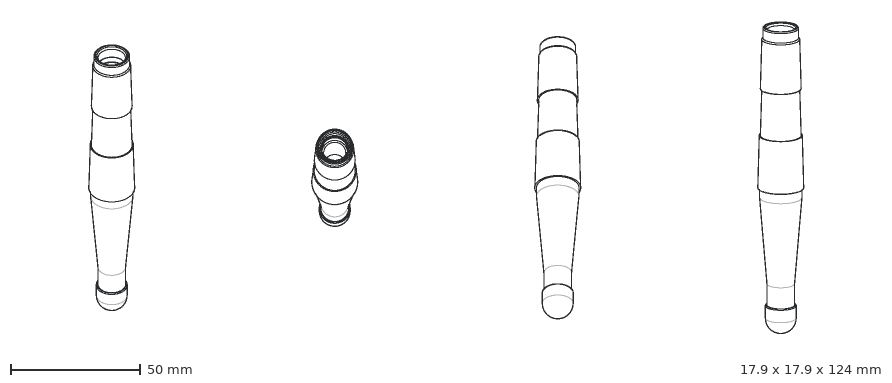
import cadquery as cq
import math

total_length = 124.0
joint_height = 58.9

knob_diameter = 12.0
knob_height = 11.4
knob_chamfer = 0.4
neck_diameter = 10.8
neck_top = 20.0
collar_diameter = 16.5
collar_bottom = 54.9

barrel_bottom_diameter = 17.9
barrel_top_diameter = 16.7
barrel_top = 80.1
section_bottom_diameter = 15.9
section_top_diameter = 14.8
middle_section_top = 99.1
upper_section_top = 119.0
top_collar_diameter = 13.9
top_collar_bottom = 119.7

rim_outer_diameter = 13.1
rim_inner_diameter = 12.4
outer_bevel_depth = 0.5
lip_diameter = 11.4
lip_depth = 0.2
countersink_depth = 1.1

mouth_bore_diameter = 10.5
groove_diameter = 10.8
groove_top = 118.9
groove_bottom = 116.5
main_bore_diameter = 10.0
main_bore_bottom = 111.6
deep_hole_diameter = 8.5
deep_hole_bottom = 89.3
drill_point_angle = 120.0


def outline_points(diameters_and_heights):
    """Turn (diameter, height) pairs into (radius, height) points of a half section."""
    return [(diameter / 2, height) for diameter, height in diameters_and_heights]


def revolve_about_z(half_section):
    return half_section.close().revolve(360, (0, 0, 0), (0, 1, 0))


def make_tail():
    knob_radius = knob_diameter / 2
    arc_middle = knob_radius * math.sqrt(0.5)
    flank = outline_points([
        (0, joint_height),
        (collar_diameter, joint_height),
        (collar_diameter, collar_bottom),
        (neck_diameter, neck_top),
        (neck_diameter, knob_height),
        (knob_diameter - 2 * knob_chamfer, knob_height),
        (knob_diameter, knob_height - knob_chamfer),
        (knob_diameter, knob_radius),
    ])
    half_section = (
        cq.Workplane("XZ")
        .polyline(flank)
        .threePointArc((arc_middle, knob_radius - arc_middle), (0, 0))
    )
    return revolve_about_z(half_section)


def make_grip():
    drill_point_depth = deep_hole_diameter / 2 / math.tan(math.radians(drill_point_angle / 2))
    outside = outline_points([
        (0, joint_height),
        (barrel_bottom_diameter, joint_height),
        (barrel_top_diameter, barrel_top),
        (section_bottom_diameter, barrel_top),
        (section_top_diameter, middle_section_top),
        (section_bottom_diameter, middle_section_top),
        (section_top_diameter, upper_section_top),
        (top_collar_diameter, top_collar_bottom),
    ])
    mouth = outline_points([
        (top_collar_diameter, total_length - outer_bevel_depth),
        (rim_outer_diameter, total_length),
        (rim_inner_diameter, total_length),
        (lip_diameter, total_length - lip_depth),
        (mouth_bore_diameter, total_length - countersink_depth),
    ])
    bore = outline_points([
        (mouth_bore_diameter, groove_top),
        (groove_diameter, groove_top),
        (groove_diameter, groove_bottom),
        (main_bore_diameter, groove_bottom),
        (main_bore_diameter, main_bore_bottom),
        (deep_hole_diameter, main_bore_bottom),
        (deep_hole_diameter, deep_hole_bottom),
        (0, deep_hole_bottom - drill_point_depth),
    ])
    return revolve_about_z(cq.Workplane("XZ").polyline(outside + mouth + bore))


tail = make_tail()
grip = make_grip()

result = cq.Compound.makeCompound([tail.val(), grip.val()])